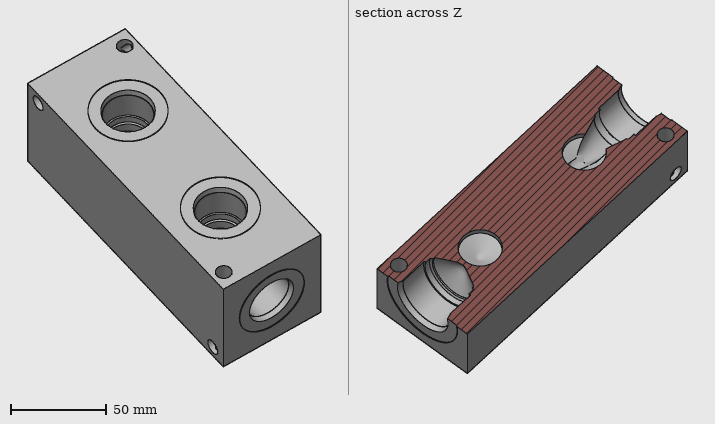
import cadquery as cq
import math

LENGTH = 174.6
SIDE = 63.5

MOUNT_DIA = 8.7
MOUNT_END_INSET = 9.5
MOUNT_SIDE_INSET = 7.2

TOP_PORT_PITCH = 82.5
SPOTFACE_DEPTH = 0.5
SEAT_DEPTH = 3.8
THREAD_DEPTH = 20.0
DRILL_POINT_ANGLE = 118.0

SMALL_PORT = dict(
    spotface_dia=42.0,
    seat_dia=28.6,
    seat_end_dia=27.5,
    thread_dia=27.0,
    bore_dia=25.0,
    drill_dia=23.0,
    bore_depth=24.5,
)
LARGE_PORT = dict(
    spotface_dia=49.0,
    seat_dia=35.5,
    seat_end_dia=33.7,
    thread_dia=33.4,
    bore_dia=31.3,
    drill_dia=28.6,
    bore_depth=23.5,
)

TOP_DRILL_DEPTH = 30.5
INLET_DRILL_DEPTH = 25.3
OUTLET_DRILL_DEPTH = 25.1
OUTLET_TAPER_END_DEPTH = 66.0


def point_length(wide_dia, narrow_dia=0.0):
    """Axial length of a drill-point cone between two diameters."""
    return (wide_dia - narrow_dia) / 2 / math.tan(math.radians(DRILL_POINT_ANGLE / 2))


def port_cutter(size, drill_depth, tip_depth=None):
    """Port with its mouth at z = 0, running down -Z to a point (a drill point by default)."""
    bore_radius = size["bore_dia"] / 2
    drill_radius = size["drill_dia"] / 2
    thread_radius = size["thread_dia"] / 2
    bore_depth = size["bore_depth"]
    drill_start = bore_depth + point_length(size["bore_dia"], size["drill_dia"])
    if tip_depth is None:
        tip_depth = drill_depth + point_length(size["drill_dia"])
    profile = (
        cq.Workplane("XZ")
        .lineTo(size["spotface_dia"] / 2, 0)
        .lineTo(size["spotface_dia"] / 2, -SPOTFACE_DEPTH)
        .lineTo(size["seat_dia"] / 2, -SPOTFACE_DEPTH)
        .lineTo(size["seat_end_dia"] / 2, -SEAT_DEPTH)
        .lineTo(thread_radius, -SEAT_DEPTH)
        .lineTo(thread_radius, -THREAD_DEPTH)
        .lineTo(bore_radius, -THREAD_DEPTH)
        .lineTo(bore_radius, -bore_depth)
        .lineTo(drill_radius, -drill_start)
        .lineTo(drill_radius, -drill_depth)
        .lineTo(0, -tip_depth)
        .close()
    )
    return profile.revolve(360, (0, 0, 0), (0, 1, 0))


def on_end_face(port, side):
    """Place a port on the -X face (side = -1) or the +X face (side = 1)."""
    return port.rotate((0, 0, 0), (0, 1, 0), side * 90).translate((side * LENGTH / 2, 0, 0))


result = cq.Workplane("XY").box(LENGTH, SIDE, SIDE)

top_port = port_cutter(SMALL_PORT, TOP_DRILL_DEPTH)
for side in (-1, 1):
    result = result.cut(top_port.translate((side * TOP_PORT_PITCH / 2, 0, SIDE / 2)))

inlet = port_cutter(LARGE_PORT, INLET_DRILL_DEPTH)
outlet = port_cutter(SMALL_PORT, OUTLET_DRILL_DEPTH, OUTLET_TAPER_END_DEPTH)
result = result.cut(on_end_face(inlet, -1))
result = result.cut(on_end_face(outlet, 1))

mount_x = LENGTH / 2 - MOUNT_END_INSET
mount_offset = SIDE / 2 - MOUNT_SIDE_INSET
hole_along_z = cq.Workplane("XY").circle(MOUNT_DIA / 2).extrude(SIDE / 2, both=True)
hole_along_y = hole_along_z.rotate((0, 0, 0), (1, 0, 0), 90)
for side in (-1, 1):
    result = result.cut(hole_along_z.translate((side * mount_x, -side * mount_offset, 0)))
    result = result.cut(hole_along_y.translate((side * mount_x, 0, -side * mount_offset)))